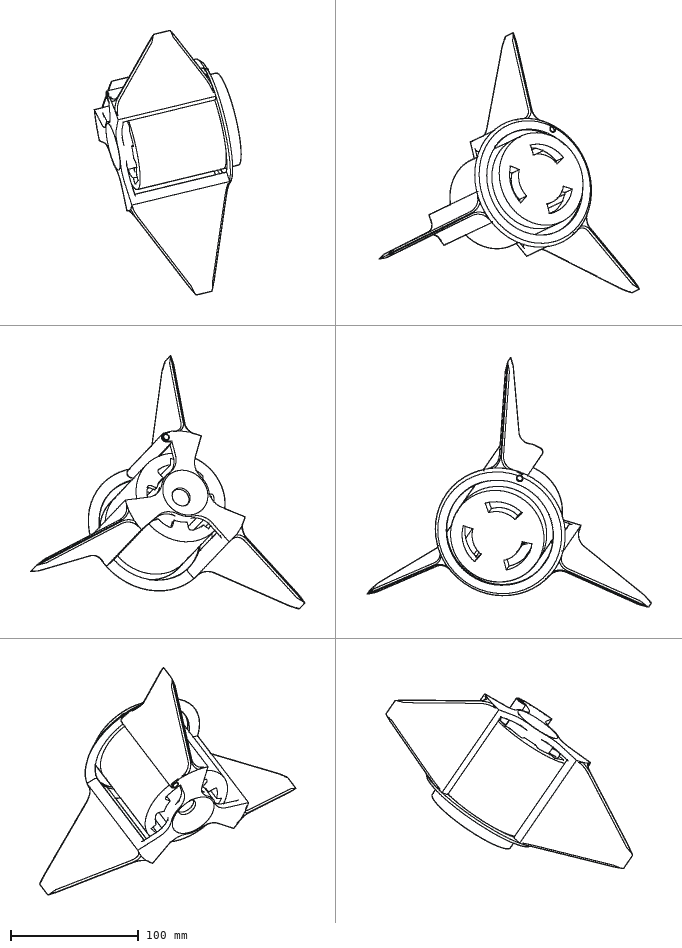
import cadquery as cq
import math


ARM_COUNT = 3
ARM_PITCH = 360 / ARM_COUNT
ARM_HALF_ANGLE = 15
TOP_ANGLE = 90
SPAN_X = 223.5

FRAME_R = 51.6
SHELL_INNER_R = 42.5
FRAME_LENGTH = 80.0
PLATE_THICKNESS = 5.0
SHELL_EDGE_ROUND = 2.7
HUB_R = 40.0 / 2
ARM_ROOT_FILLET = 15.0
CONE_MOUTH_R = 18.8
CONE_FLOOR_R = 15.0 / 2
CONE_DEPTH = 9.4
CENTRE_RECESS_DEPTH = 3.0

FIN_TIP_R = SPAN_X / 2 / math.cos(math.radians(30))
FIN_SHOULDER_R = 121.3
FIN_HALF_THICKNESS = 1.68
FIN_ROOT_FILLET = 9.8
FIN_ROOT_HALF_WIDTH = 40.0
FIN_SHOULDER_HALF_WIDTH = 10.3
FIN_TIP_HALF_WIDTH = 6.5
FIN_EDGE_CHAMFER = 1.3
FIN_EMBED = 1.3

TUBE_R = 5.1 / 2
TUBE_BORE_R = 4.2 / 2
TUBE_X = -15.9
TUBE_Z = 44.7
BOSS_R = 3.8
BOSS_WEB_INSET = 0.2
BOSS_WEB_ROOT = 3.4
BOSS_END_CHAMFER = 0.7

RING_THICKNESS = 2.7
RING_SLANT = 2.5
RING_BACK = FRAME_LENGTH + RING_THICKNESS

CAN_R = 74.2 / 2
CAN_BORE_R = 20.5
CAN_INNER_R = 28.0
CAN_FRONT = 10.7
CAN_FACE_THICKNESS = 4.5
CAP_FRONT = 81.1
CAP_BACK = 93.5
WINDOW_HALF_ANGLE = 45
WINDOW_CORNER_R = 2.2
NOTCH_HALF_WIDTH = 8.3
NOTCH_OUTER_R = 31.7
CAP_WINDOW_SHORT_ANGLE = 20


def plane_at(y):
    """Sketch plane across the Y axis, with +X to the right and +Z up."""
    return cq.Workplane("XZ", origin=(0, y, 0))


def cylinder(radius, y_front, y_back, x=0, z=0):
    return plane_at(y_front).center(x, z).circle(radius).extrude(y_front - y_back)


def polar(radius, degrees):
    angle = math.radians(degrees)
    return radius * math.cos(angle), radius * math.sin(angle)


def sector(inner_r, outer_r, start, end, y_front, y_back):
    """Block bounded by two arcs and two radial faces."""
    middle = (start + end) / 2
    return (
        plane_at(y_front)
        .moveTo(*polar(inner_r, start))
        .lineTo(*polar(outer_r, start))
        .threePointArc(polar(outer_r, middle), polar(outer_r, end))
        .lineTo(*polar(inner_r, end))
        .threePointArc(polar(inner_r, middle), polar(inner_r, start))
        .close()
        .extrude(y_front - y_back)
    )


def around_axis(feature):
    """Copies of a feature, one for each arm."""
    return [feature.rotate((0, 0, 0), (0, 1, 0), i * ARM_PITCH) for i in range(ARM_COUNT)]


def edges_at_radius(body, radius):
    """Edges parallel to Y that lie at the given distance from the axis."""
    lines = body.edges("|Y").vals()
    return [e for e in lines if abs(math.hypot(e.Center().x, e.Center().z) - radius) < 0.02]


def round_edges(body, radius, fillet):
    return body.newObject(edges_at_radius(body, radius)).fillet(fillet)


def make_spider_plate():
    plate = cylinder(HUB_R, 0, PLATE_THICKNESS)
    arm = sector(
        HUB_R / 2, FRAME_R, TOP_ANGLE - ARM_HALF_ANGLE, TOP_ANGLE + ARM_HALF_ANGLE, 0, PLATE_THICKNESS
    )
    for arm_copy in around_axis(arm):
        plate = plate.union(arm_copy)
    return round_edges(plate, HUB_R, ARM_ROOT_FILLET)


def make_shell_arm():
    arm = sector(
        SHELL_INNER_R,
        FRAME_R,
        TOP_ANGLE - ARM_HALF_ANGLE,
        TOP_ANGLE + ARM_HALF_ANGLE,
        PLATE_THICKNESS,
        FRAME_LENGTH,
    )
    return round_edges(arm, SHELL_INNER_R, SHELL_EDGE_ROUND)


def make_fin():
    """Top fin: a wedge-tipped blade with flared root, tapered along Y and chamfered on its sides."""
    reach = FRAME_R + FIN_ROOT_FILLET
    arc_x = FIN_HALF_THICKNESS + FIN_ROOT_FILLET
    arc_z = math.sqrt(reach**2 - arc_x**2)
    foot_x = arc_x * FRAME_R / reach
    foot_z = arc_z * FRAME_R / reach
    foot_angle = math.degrees(math.atan2(arc_z, arc_x))
    bend_x, bend_z = polar(FIN_ROOT_FILLET, (180 + 180 + foot_angle) / 2)
    bend = (arc_x + bend_x, arc_z + bend_z)
    base_z = foot_z - FIN_EMBED
    section = (
        plane_at(0)
        .moveTo(-foot_x, base_z)
        .lineTo(foot_x, base_z)
        .lineTo(foot_x, foot_z)
        .threePointArc(bend, (FIN_HALF_THICKNESS, arc_z))
        .lineTo(FIN_HALF_THICKNESS, FIN_TIP_R)
        .lineTo(-FIN_HALF_THICKNESS, FIN_TIP_R)
        .lineTo(-FIN_HALF_THICKNESS, arc_z)
        .threePointArc((-bend[0], bend[1]), (-foot_x, foot_z))
        .close()
        .extrude(-FRAME_LENGTH)
    )
    mid_y = FRAME_LENGTH / 2
    taper = (FIN_ROOT_HALF_WIDTH - FIN_SHOULDER_HALF_WIDTH) / (FIN_SHOULDER_R - FRAME_R)
    base_half = FIN_ROOT_HALF_WIDTH + taper * (FRAME_R - base_z)
    outline = (
        cq.Workplane("YZ")
        .moveTo(mid_y - base_half, base_z)
        .lineTo(mid_y + base_half, base_z)
        .lineTo(mid_y + FIN_SHOULDER_HALF_WIDTH, FIN_SHOULDER_R)
        .lineTo(mid_y + FIN_TIP_HALF_WIDTH, FIN_TIP_R)
        .lineTo(mid_y - FIN_TIP_HALF_WIDTH, FIN_TIP_R)
        .lineTo(mid_y - FIN_SHOULDER_HALF_WIDTH, FIN_SHOULDER_R)
        .close()
        .extrude(FRAME_R, both=True)
    )
    blade = section.intersect(outline)
    return bevel_sides(blade, foot_z).intersect(make_tip_wedge(base_z))


def bevel_sides(blade, foot_z):
    """Chamfer the slanting front and rear edges of a fin above the foot of its root arcs."""
    slanting = [
        edge
        for edge in blade.edges("not |Y").vals()
        if edge.Center().z > foot_z and edge.BoundingBox().zlen > FIN_EDGE_CHAMFER
    ]
    return blade.newObject(slanting).chamfer(FIN_EDGE_CHAMFER)


def make_tip_wedge(base_z):
    """Block that narrows to a knife edge across the tip of a fin."""
    slope = FIN_HALF_THICKNESS / (FIN_TIP_R - FIN_SHOULDER_R)
    base_half = slope * (FIN_TIP_R - base_z)
    return (
        plane_at(0)
        .polyline([(-base_half, base_z), (base_half, base_z), (0, FIN_TIP_R)])
        .close()
        .extrude(-FRAME_LENGTH)
    )


def make_conduit_boss():
    """Round boss beside the top arm, joined to it by a web tangent to the boss."""
    outer = polar(FRAME_R, TOP_ANGLE + ARM_HALF_ANGLE)
    inner = polar(SHELL_INNER_R + BOSS_WEB_INSET, TOP_ANGLE + ARM_HALF_ANGLE)
    outer_root = polar(FRAME_R - BOSS_WEB_ROOT, TOP_ANGLE)
    inner_root = polar(SHELL_INNER_R + BOSS_WEB_ROOT, TOP_ANGLE)
    web = (
        plane_at(0)
        .polyline([tangent_point(outer, 1), outer, outer_root, inner_root, inner, tangent_point(inner, -1)])
        .close()
        .extrude(-FRAME_LENGTH)
    )
    boss = cylinder(BOSS_R, 0, FRAME_LENGTH, TUBE_X, TUBE_Z).union(web)
    return boss.faces("<Y or >Y").chamfer(BOSS_END_CHAMFER)


def tangent_point(point, side):
    """Where a line from the point touches the boss circle, above it (1) or below it (-1)."""
    dx = point[0] - TUBE_X
    dz = point[1] - TUBE_Z
    heading = math.degrees(math.atan2(dz, dx))
    opening = math.degrees(math.acos(BOSS_R / math.hypot(dx, dz)))
    touch_x, touch_z = polar(BOSS_R, heading + side * opening)
    return TUBE_X + touch_x, TUBE_Z + touch_z


def make_cone_recess():
    """Conical mouth in the hub that ends in a short round recess."""
    floor_y = CONE_DEPTH + CENTRE_RECESS_DEPTH
    return (
        cq.Workplane("XY")
        .polyline([(0, 0), (CONE_MOUTH_R, 0), (CONE_FLOOR_R, CONE_DEPTH), (CONE_FLOOR_R, floor_y), (0, floor_y)])
        .close()
        .revolve(360, (0, 0, 0), (0, 1, 0))
    )


def make_tube_hole():
    return cylinder(TUBE_R, 0, RING_BACK, TUBE_X, TUBE_Z)


def make_frame():
    frame = make_spider_plate().union(cylinder(HUB_R, 0, CAP_FRONT))
    for shell_arm in around_axis(make_shell_arm()):
        frame = frame.union(shell_arm)
    for fin in around_axis(make_fin()):
        frame = frame.union(fin)
    return frame.union(make_conduit_boss()).cut(make_cone_recess()).cut(make_tube_hole())


def make_end_ring():
    """Flat ring whose outer side slants inward toward the back."""
    ring = (
        cq.Workplane("XY")
        .moveTo(SHELL_INNER_R, FRAME_LENGTH)
        .lineTo(FRAME_R, FRAME_LENGTH)
        .lineTo(FRAME_R - RING_SLANT, RING_BACK)
        .lineTo(SHELL_INNER_R, RING_BACK)
        .close()
        .revolve(360, (0, 0, 0), (0, 1, 0))
    )
    return ring.cut(make_tube_hole())


def make_conduit_tube():
    tube = cylinder(TUBE_R, 0, RING_BACK, TUBE_X, TUBE_Z)
    return tube.cut(cylinder(TUBE_BORE_R, 0, RING_BACK, TUBE_X, TUBE_Z))


def make_can_window():
    """Opening behind the top arm: a sector with rounded outer corners and a deeper notch."""
    window = sector(
        HUB_R / 2,
        CAN_INNER_R,
        TOP_ANGLE - WINDOW_HALF_ANGLE,
        TOP_ANGLE + WINDOW_HALF_ANGLE,
        CAN_FRONT,
        CAP_FRONT,
    )
    window = round_edges(window, CAN_INNER_R, WINDOW_CORNER_R)
    notch = (
        plane_at(CAN_FRONT)
        .center(0, NOTCH_OUTER_R / 2)
        .rect(2 * NOTCH_HALF_WIDTH, NOTCH_OUTER_R)
        .extrude(CAN_FRONT - CAP_FRONT)
    )
    return window.union(notch)


def make_can():
    can = cylinder(CAN_R, CAN_FRONT, CAP_FRONT).cut(cylinder(CAN_BORE_R, CAN_FRONT, CAP_FRONT))
    can = can.cut(cylinder(CAN_INNER_R, CAN_FRONT + CAN_FACE_THICKNESS, CAP_FRONT))
    for window in around_axis(make_can_window()):
        can = can.cut(window)
    return can


def make_rear_cap():
    cap = cylinder(CAN_R, CAP_FRONT, CAP_BACK)
    window = sector(
        HUB_R,
        CAN_INNER_R,
        TOP_ANGLE - CAP_WINDOW_SHORT_ANGLE,
        TOP_ANGLE + WINDOW_HALF_ANGLE,
        CAP_FRONT,
        CAP_BACK,
    )
    for window_copy in around_axis(window):
        cap = cap.cut(window_copy)
    return cap


frame = make_frame()
end_ring = make_end_ring()
conduit_tube = make_conduit_tube()
can = make_can()
rear_cap = make_rear_cap()

result = cq.Compound.makeCompound(
    [frame.val(), end_ring.val(), conduit_tube.val(), can.val(), rear_cap.val()]
)